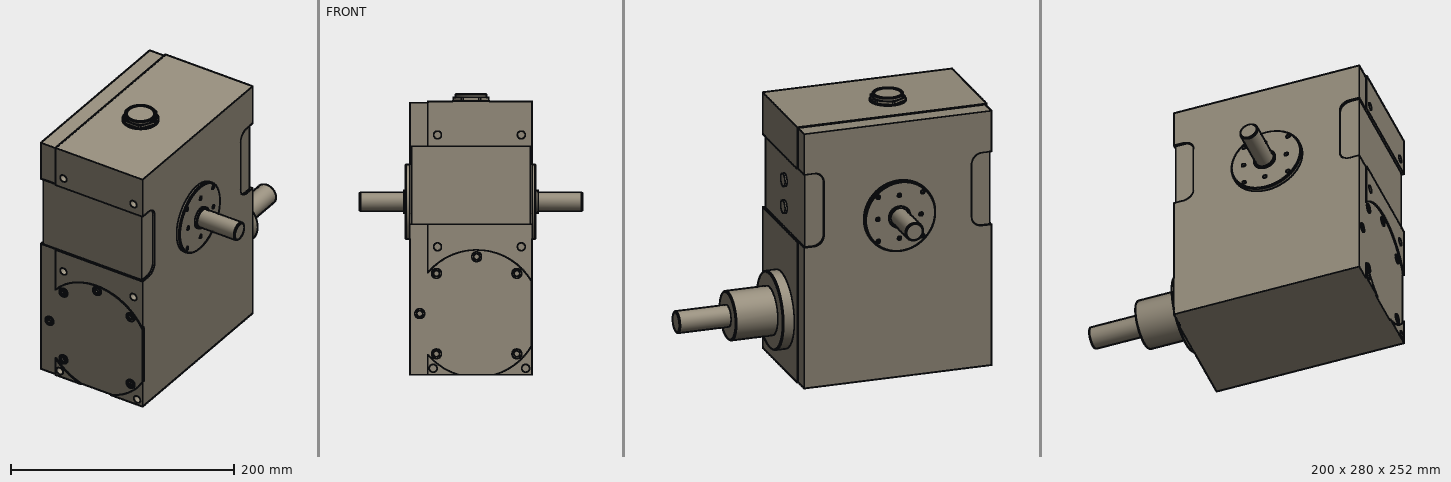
import cadquery as cq
import math

half_width = 55.0
housing_depth = 180.0
housing_height = 245.0
cover_thickness = 16.2
cover_inset = 1.0
cover_joint_x = -half_width + cover_thickness

waist_bottom = 135.0
waist_top = 205.0
waist_depth = 2.0
waist_reach = 20.0
waist_radius = 9.8

output_length = 200.0
output_diameter = 17.0
output_y = housing_depth / 2
output_z = 155.0
collar_diameter = 20.5
collar_half_length = 60.2
flange_diameter = 67.2
flange_left_x = -59.0
flange_right_x = 58.2
flange_y = output_y - 1.0
screw_hole_diameter = 3.5
screw_hole_depth = 2.8
flange_hole_circle = 59.5
bearing_hole_circle = 41.2

input_x = 5.0
input_z = 55.0
input_flange_diameter = 72.0
input_flange_end = 191.0
input_boss_diameter = 45.0
input_boss_end = 231.0
input_shaft_diameter = 20.2
input_shaft_end = 280.0
edge_chamfer = 1.0

cap_radius = 57.0
cap_flat_x = half_width - 1.0
cap_gap_depth = 2.8
cap_bolt_radius = 51.0
cap_bolt_angles = (45, 90, 135, 180, 225, 315)
bolt_recess_diameter = 8.7
bolt_recess_depth = 0.8
bolt_socket_diameter = 5.3
bolt_socket_depth = 3.5

mount_hole_diameter = 7.0
mount_hole_depth = 8.5
mount_x = 7.5
upper_mount_spacing = 75.0
lower_mount_spacing = 83.0
upper_mount_heights = (114.8, 215.0)
lower_mount_height = 6.0

plug_y = 80.5
washer_diameter = 33.0
washer_height = 0.8
washer_chamfer = 0.5
hex_across_flats = 28.5
hex_corner_diameter = 32.0
hex_top = 3.5
head_diameter = 28.0
plug_height = 7.0
dish_diameter = 24.0
rim_height = 1.0
rim_diameter = (head_diameter + dish_diameter) / 2

pad_diameter = 12.0
pad_heights = (154.8, 180.5)


def rod_x(x_start, x_end, diameter, y, z):
    """Cylinder along X."""
    length = x_end - x_start
    return cq.Workplane("YZ", origin=(x_start, y, z)).circle(diameter / 2).extrude(length)


def rod_y(y_start, y_end, diameter, x, z):
    """Cylinder along +Y."""
    length = y_end - y_start
    return cq.Workplane("XZ", origin=(x, y_start, z)).circle(diameter / 2).extrude(-length)


def box(x_range, y_range, z_range):
    """Box given by its limits on each axis."""
    (x0, x1), (y0, y1), (z0, z1) = x_range, y_range, z_range
    return cq.Workplane("XY").box(x1 - x0, y1 - y0, z1 - z0, centered=False).translate((x0, y0, z0))


def housing():
    main = box((cover_joint_x, half_width), (0, housing_depth), (0, housing_height))
    cover = box(
        (-half_width, cover_joint_x),
        (cover_inset, housing_depth - cover_inset),
        (0, housing_height - cover_inset),
    )
    return main.union(cover)


def waist_cut():
    """End slabs, plus rounded pockets on both sides, at the front and the back."""
    waist_z = (waist_bottom, waist_top)
    cut = None
    for end_y in (0, housing_depth):
        slab = box((-half_width, half_width), (end_y - waist_depth, end_y + waist_depth), waist_z)
        cut = slab if cut is None else cut.union(slab)
        for side in (-1, 1):
            side_x = side * half_width
            pocket = box(
                (side_x - waist_depth, side_x + waist_depth),
                (end_y - waist_reach, end_y + waist_reach),
                waist_z,
            )
            cut = cut.union(pocket.edges("|X").fillet(waist_radius))
    return cut


def output_end_flanges():
    """Flange on each side of the block, with two rings of screw holes."""
    left = rod_x(flange_left_x, 0, flange_diameter, flange_y, output_z)
    left = left.faces("<X").chamfer(edge_chamfer)
    right = rod_x(0, flange_right_x, flange_diameter, flange_y, output_z)
    right = right.faces(">X").chamfer(edge_chamfer)
    flanges = left.union(right)
    rings = ((flange_y, flange_hole_circle / 2, 45), (output_y, bearing_hole_circle / 2, 0))
    for centre_y, radius, first_angle in rings:
        for quarter in range(4):
            angle = math.radians(first_angle + 90 * quarter)
            y = centre_y + radius * math.cos(angle)
            z = output_z + radius * math.sin(angle)
            left_end = flange_left_x + screw_hole_depth
            right_end = flange_right_x - screw_hole_depth
            flanges = flanges.cut(rod_x(flange_left_x, left_end, screw_hole_diameter, y, z))
            flanges = flanges.cut(rod_x(right_end, flange_right_x, screw_hole_diameter, y, z))
    return flanges


def output_shaft():
    """Chamfered shaft with a short collar standing out of each flange."""
    half = output_length / 2
    shaft = rod_x(-half, half, output_diameter, output_y, output_z).faces("<X or >X").chamfer(edge_chamfer)
    return shaft.union(
        rod_x(-collar_half_length, collar_half_length, collar_diameter, output_y, output_z)
    )


def input_shaft():
    steps = (
        (input_flange_diameter, input_flange_end),
        (input_boss_diameter, input_boss_end),
        (input_shaft_diameter, input_shaft_end),
    )
    shaft = None
    for diameter, end_y in steps:
        step = rod_y(housing_depth / 2, end_y, diameter, input_x, input_z)
        step = step.faces(">Y").chamfer(edge_chamfer)
        shaft = step if shaft is None else shaft.union(step)
    return shaft


def end_cap_cut():
    """Shallow round seat, a deeper slit beside the cap flat, and the bolt recesses."""
    seat = rod_y(0, cover_inset, 2 * cap_radius, input_x, input_z)
    slit = rod_y(0, cap_gap_depth, 2 * cap_radius, input_x, input_z)
    slit = slit.intersect(box((cap_flat_x, half_width), (0, cap_gap_depth), (0, housing_height)))
    cut = seat.union(slit)
    for degrees in cap_bolt_angles:
        angle = math.radians(degrees)
        x = input_x + cap_bolt_radius * math.cos(angle)
        z = input_z + cap_bolt_radius * math.sin(angle)
        cut = cut.union(rod_y(0, cover_inset + bolt_recess_depth, bolt_recess_diameter, x, z))
        cut = cut.union(rod_y(0, cover_inset + bolt_socket_depth, bolt_socket_diameter, x, z))
    return cut


def mounting_holes():
    rows = [(height, upper_mount_spacing) for height in upper_mount_heights]
    rows.append((lower_mount_height, lower_mount_spacing))
    cut = None
    for z, spacing in rows:
        for side in (-1, 1):
            hole = rod_y(0, mount_hole_depth, mount_hole_diameter, mount_x + side * spacing / 2, z)
            cut = hole if cut is None else cut.union(hole)
    return cut


def filler_plug():
    base = cq.Workplane("XY", origin=(0, plug_y, housing_height))
    washer = base.circle(washer_diameter / 2).extrude(washer_height).faces(">Z").chamfer(washer_chamfer)
    across_corners = hex_across_flats / math.cos(math.radians(30))
    hexagon = base.polygon(6, across_corners).extrude(hex_top)
    hexagon = hexagon.intersect(base.circle(hex_corner_diameter / 2).extrude(hex_top))
    head_radius = head_diameter / 2
    floor_height = plug_height - rim_height
    profile = [
        (0, 0),
        (head_radius, 0),
        (head_radius, floor_height),
        (rim_diameter / 2, plug_height),
        (dish_diameter / 2, floor_height),
        (0, floor_height),
    ]
    head = cq.Workplane("XZ", origin=(0, plug_y, housing_height)).polyline(profile).close()
    head = head.revolve(360, (0, 0), (0, 1))
    return washer.union(hexagon).union(head)


def back_pads():
    pads = [
        rod_y(housing_depth / 2, housing_depth, pad_diameter, 0, height)
        for height in pad_heights
    ]
    return pads[0].union(pads[1])


result = housing().cut(waist_cut()).cut(end_cap_cut()).cut(mounting_holes())
for addition in (output_end_flanges(), output_shaft(), input_shaft(), filler_plug(), back_pads()):
    result = result.union(addition)